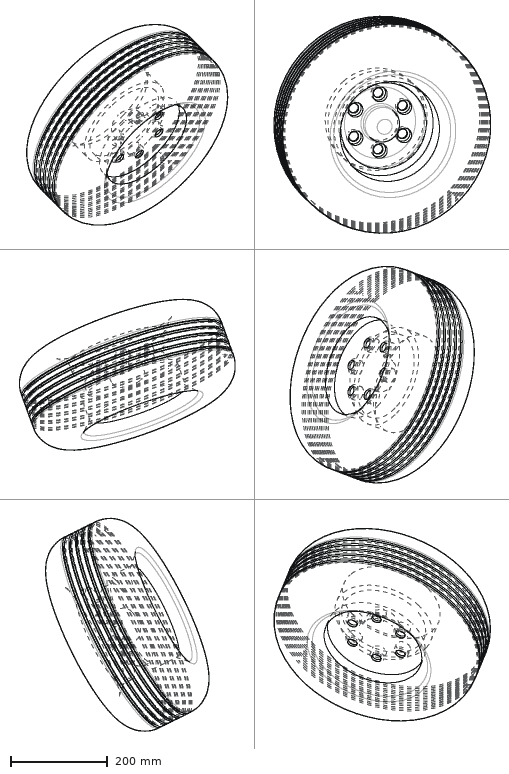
import cadquery as cq
import math

tyre_radius = 220.0
tyre_width = 194.0
half_width = tyre_width / 2
tread_half_width = 36.5
shoulder_radius = half_width - tread_half_width
shoulder_centre_radius = tyre_radius - shoulder_radius

groove_count = 5
groove_pitch = 15.0
groove_width = 5.0
groove_depth = 5.0

bead_radius = 133.7
rim_lip_radius = 124.5
rim_bore_radius = 105.5
rim_cone_normal = math.radians(-47)

disc_front_x = -10.0
dish_radius = 91.0
dish_floor_radius = 75.5
dish_fillet = dish_radius - dish_floor_radius
dish_floor_x = 20.2
disc_back_x = 40.5

hub_radius = 36.5
hub_base_radius = 40.5
hub_base_fillet = hub_base_radius - hub_radius
hub_top_radius = 16.0
hub_dome_fillet = hub_radius - hub_top_radius
hub_top_x = -20.0

bolt_count = 6
bolt_circle_radius = 60.0
bolt_hole_radius = 10.0
counterbore_radius = 15.5
counterbore_depth = 15.0

diagonal = math.sqrt(0.5)

bead_normal = math.asin((bead_radius - shoulder_centre_radius) / shoulder_radius)
bead_x = tread_half_width + shoulder_radius * math.cos(bead_normal)
lip_arc_radius = (bead_radius - rim_lip_radius) / (math.sin(bead_normal) - math.sin(rim_cone_normal))
lip_centre_x = bead_x - lip_arc_radius * math.cos(bead_normal)
lip_centre_radius = bead_radius - lip_arc_radius * math.sin(bead_normal)
rim_lip_x = lip_centre_x + lip_arc_radius * math.cos(rim_cone_normal)
rim_cone_end_x = rim_lip_x - (rim_lip_radius - rim_bore_radius) * math.tan(-rim_cone_normal)


def shoulder_middle(side):
    """Point (x, radius) on the tyre shoulder; side is -1 or +1."""
    x = tread_half_width + shoulder_radius * diagonal
    return side * x, shoulder_centre_radius + shoulder_radius * diagonal


def lip_middle(side):
    """Middle point (x, radius) of the lip arc; side is -1 or +1."""
    normal = (bead_normal + rim_cone_normal) / 2
    x = lip_centre_x + lip_arc_radius * math.cos(normal)
    return side * x, lip_centre_radius + lip_arc_radius * math.sin(normal)


def wheel_body():
    """Tyre, rim and dished disc as one profile turned about the X axis."""
    profile = (
        cq.Workplane("XY")
        .moveTo(hub_top_x, 0)
        .lineTo(hub_top_x, hub_top_radius)
        .threePointArc(
            (
                hub_top_x + hub_dome_fillet * (1 - diagonal),
                hub_top_radius + hub_dome_fillet * diagonal,
            ),
            (hub_top_x + hub_dome_fillet, hub_radius),
        )
        .lineTo(dish_floor_x - hub_base_fillet, hub_radius)
        .threePointArc(
            (
                dish_floor_x - hub_base_fillet * (1 - diagonal),
                hub_base_radius - hub_base_fillet * diagonal,
            ),
            (dish_floor_x, hub_base_radius),
        )
        .lineTo(dish_floor_x, dish_floor_radius)
        .threePointArc(
            (
                dish_floor_x - dish_fillet * (1 - diagonal),
                dish_floor_radius + dish_fillet * diagonal,
            ),
            (dish_floor_x - dish_fillet, dish_radius),
        )
        .lineTo(disc_front_x, dish_radius)
        .lineTo(disc_front_x, rim_bore_radius)
        .lineTo(-rim_cone_end_x, rim_bore_radius)
        .lineTo(-rim_lip_x, rim_lip_radius)
        .threePointArc(lip_middle(-1), (-bead_x, bead_radius))
        .threePointArc(shoulder_middle(-1), (-tread_half_width, tyre_radius))
        .lineTo(tread_half_width, tyre_radius)
        .threePointArc(shoulder_middle(1), (bead_x, bead_radius))
        .threePointArc(lip_middle(1), (rim_lip_x, rim_lip_radius))
        .lineTo(rim_cone_end_x, rim_bore_radius)
        .lineTo(disc_back_x, rim_bore_radius)
        .lineTo(disc_back_x, 0)
        .close()
    )
    return profile.revolve(360, (0, 0, 0), (1, 0, 0))


def tread_groove(centre_x):
    """Ring that cuts one groove around the tread."""
    return (
        cq.Workplane("YZ", origin=(centre_x - groove_width / 2, 0, 0))
        .circle(tyre_radius + groove_depth)
        .circle(tyre_radius - groove_depth)
        .extrude(groove_width)
    )


def bolt_holes():
    """Counterbored holes on the bolt circle, the first one straight up."""
    def cylinders(radius, start_x, depth):
        return (
            cq.Workplane("YZ", origin=(start_x, 0, 0))
            .polarArray(bolt_circle_radius, 90, 360, bolt_count)
            .circle(radius)
            .extrude(depth)
        )

    holes = cylinders(bolt_hole_radius, dish_floor_x, disc_back_x - dish_floor_x)
    return holes.union(cylinders(counterbore_radius, dish_floor_x, counterbore_depth))


result = wheel_body()
for index in range(groove_count):
    groove_x = (index - (groove_count - 1) / 2) * groove_pitch
    result = result.cut(tread_groove(groove_x))
result = result.cut(bolt_holes())